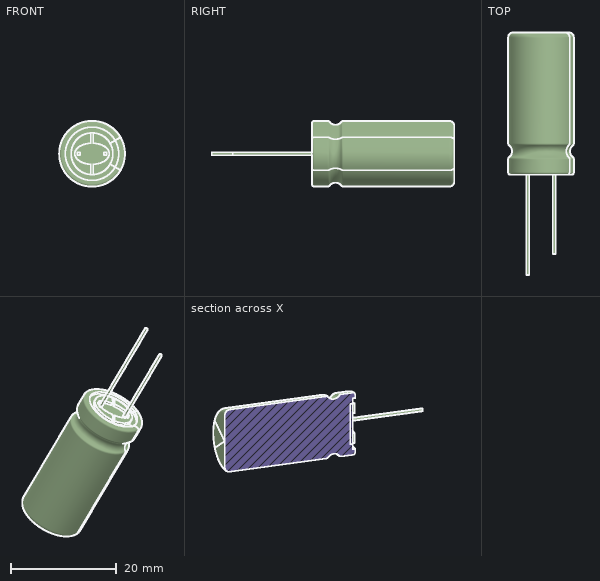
import cadquery as cq
import math

can_radius = 6.25
can_length = 27.0
front_fillet = 0.5
back_fillet = 1.0

groove_center = 4.45
groove_half_width = 1.5
groove_depth = 0.75
lip_radius = 0.5

recess_radius = 5.05
recess_depth = 0.5
stripe_angle = 60

base_radius = 3.95
base_floor_thickness = 0.5
pad_height = 0.5
slot_width = 0.45
oval_length = 6.55
oval_width = 4.0

lead_radius = 0.3
lead_spacing = 5.0
lead_tip_fillet = 0.2
long_lead_length = 19.0
short_lead_length = 15.0

base_back = recess_depth + base_floor_thickness


def can_profile():
    """Half section of the can in the XY plane, from the axis outward."""
    turn = 2 * math.atan(groove_depth / groove_half_width)

    def lip_point(angle):
        """Radius and axial distance from the groove's center, on a lip."""
        radius = can_radius - lip_radius * (1 - math.cos(angle))
        return radius, groove_half_width - lip_radius * math.sin(angle)

    lip_mid_radius, lip_mid_offset = lip_point(turn / 2)
    lip_end_radius, lip_end_offset = lip_point(turn)
    groove_front = groove_center - groove_half_width
    groove_back = groove_center + groove_half_width
    diagonal = 1 - math.sqrt(0.5)
    return (
        cq.Workplane("XY")
        .moveTo(0, recess_depth)
        .lineTo(recess_radius, recess_depth)
        .lineTo(recess_radius, 0)
        .lineTo(can_radius - front_fillet, 0)
        .threePointArc(
            (can_radius - front_fillet * diagonal, front_fillet * diagonal),
            (can_radius, front_fillet),
        )
        .lineTo(can_radius, groove_front)
        .threePointArc(
            (lip_mid_radius, groove_center - lip_mid_offset),
            (lip_end_radius, groove_center - lip_end_offset),
        )
        .threePointArc(
            (can_radius - groove_depth, groove_center),
            (lip_end_radius, groove_center + lip_end_offset),
        )
        .threePointArc(
            (lip_mid_radius, groove_center + lip_mid_offset),
            (can_radius, groove_back),
        )
        .lineTo(can_radius, can_length - back_fillet)
        .threePointArc(
            (can_radius - back_fillet * diagonal, can_length - back_fillet * diagonal),
            (can_radius - back_fillet, can_length),
        )
        .lineTo(0, can_length)
        .close()
    )


def can_sector(start_angle, sweep_angle):
    """Sector of the can about Y, with the seat for the base cut out."""
    sector = can_profile().revolve(sweep_angle, (0, 0, 0), (0, 1, 0))
    sector = sector.rotate((0, 0, 0), (0, 1, 0), start_angle)
    return sector.cut(disc(base_radius, recess_depth, base_back)).solids()


def disc(radius, front, back):
    """Cylinder along Y between two Y positions."""
    return cq.Workplane("XZ", origin=(0, back, 0)).circle(radius).extrude(back - front)


def make_base():
    """Disc whose front is split into two pads by a slot and an oval hollow."""
    pad_front = recess_depth - pad_height
    face = cq.Workplane("XZ", origin=(0, recess_depth, 0))
    slot = face.rect(slot_width, 2 * base_radius).extrude(pad_height)
    oval = face.ellipse(oval_length / 2, oval_width / 2).extrude(pad_height)
    return disc(base_radius, pad_front, base_back).cut(slot).cut(oval).solids()


def make_lead(x, length):
    """Round wire from the hollow's floor to its rounded tip."""
    wire = disc(lead_radius, -length, recess_depth).faces("<Y").edges().fillet(lead_tip_fillet)
    return wire.translate((x, 0, 0)).solids()


can = can_sector(stripe_angle / 2, 360 - stripe_angle)
stripe = can_sector(-stripe_angle / 2, stripe_angle)
base = make_base()
leads = [
    make_lead(x, length)
    for x, length in [(-lead_spacing / 2, long_lead_length), (lead_spacing / 2, short_lead_length)]
]

result = cq.Compound.makeCompound(
    [can.val(), stripe.val(), base.val(), *[lead.val() for lead in leads]]
)